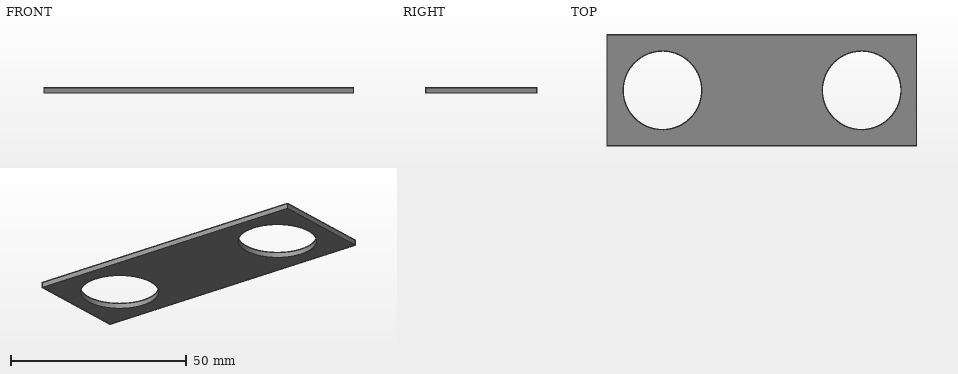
import cadquery as cq

length = 88.4
width = 31.7
thickness = 1.6

hole_diameter = 22.4
left_margin = (width - hole_diameter) / 2
right_margin = 4.5
left_hole_x = -length / 2 + left_margin + hole_diameter / 2
right_hole_x = length / 2 - right_margin - hole_diameter / 2

plate = cq.Workplane("XY").box(length, width, thickness)

result = (
    plate.faces(">Z")
    .workplane()
    .pushPoints([(left_hole_x, 0), (right_hole_x, 0)])
    .hole(hole_diameter)
)